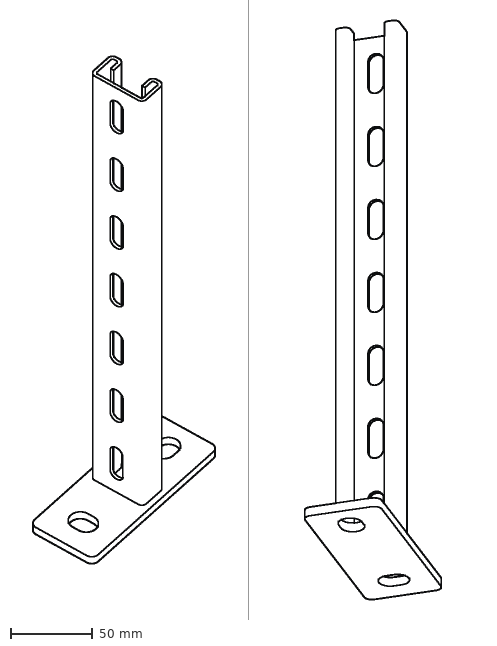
import cadquery as cq

plate_width = 50.0
plate_length = 125.0
plate_thickness = 6.0
plate_corner_radius = 5.0
plate_slot_length = 19.5
plate_slot_width = 15.0
rear_slot_y = 42.0
front_slot_y = -40.5

total_height = 356.0
channel_width = 41.3
channel_depth = 21.5
channel_back_y = -7.5
wall = 2.5
outer_bend_radius = 3.5
inner_bend_radius = outer_bend_radius - wall
lip_width = 9.5
lip_length = 10.0

slot_count = 7
slot_length = 27.0
slot_width = 10.0

channel_height = total_height - plate_thickness
slot_pitch = channel_height / slot_count


def make_plate():
    """Rounded plate with one slot along Y and one slot along X."""
    plate = cq.Workplane("XY").box(
        plate_width, plate_length, plate_thickness, centered=(True, True, False)
    )
    plate = plate.edges("|Z").fillet(plate_corner_radius)
    for y, angle in ((rear_slot_y, 90), (front_slot_y, 0)):
        slot = (
            cq.Workplane("XY")
            .center(0, y)
            .slot2D(plate_slot_length, plate_slot_width, angle)
            .extrude(plate_thickness)
        )
        plate = plate.cut(slot)
    return plate


def upright_block(x_min, x_max, y_min, y_max):
    """Vertical block standing on the plate, as tall as the channel."""
    return (
        cq.Workplane("XY", origin=(0, 0, plate_thickness))
        .center((x_min + x_max) / 2, (y_min + y_max) / 2)
        .rect(x_max - x_min, y_max - y_min)
        .extrude(channel_height)
    )


def make_channel():
    """C-shaped channel: rounded outer block, hollowed behind the two lips."""
    half_width = channel_width / 2
    half_gap = half_width - lip_width
    front_y = channel_back_y + channel_depth
    lip_end_y = front_y - lip_length
    inner_half_width = half_width - wall
    inner_back_y = channel_back_y + wall
    inner_front_y = front_y - wall

    channel = upright_block(-half_width, half_width, channel_back_y, front_y)
    channel = channel.cut(upright_block(-half_gap, half_gap, lip_end_y, front_y))
    channel = channel.edges("|Z and <Y").fillet(outer_bend_radius)
    channel = channel.faces(">Y").edges("|Z").fillet(outer_bend_radius)

    pocket = upright_block(-inner_half_width, inner_half_width, inner_back_y, inner_front_y)
    lip_zone = upright_block(-half_gap - wall, half_gap + wall, lip_end_y, front_y)
    pocket = pocket.cut(lip_zone)
    pocket = pocket.edges("|Z and <Y").fillet(inner_bend_radius)
    pocket = pocket.faces(">Y").edges("|Z").fillet(inner_bend_radius)
    return channel.cut(pocket)


def make_wall_slots():
    """Evenly pitched vertical slots through the back wall only."""
    centers = [
        (0, plate_thickness + (index + 0.5) * slot_pitch) for index in range(slot_count)
    ]
    return (
        cq.Workplane("XZ", origin=(0, channel_back_y + wall, 0))
        .pushPoints(centers)
        .slot2D(slot_length, slot_width, 90)
        .extrude(wall)
    )


result = make_plate().union(make_channel().cut(make_wall_slots()))